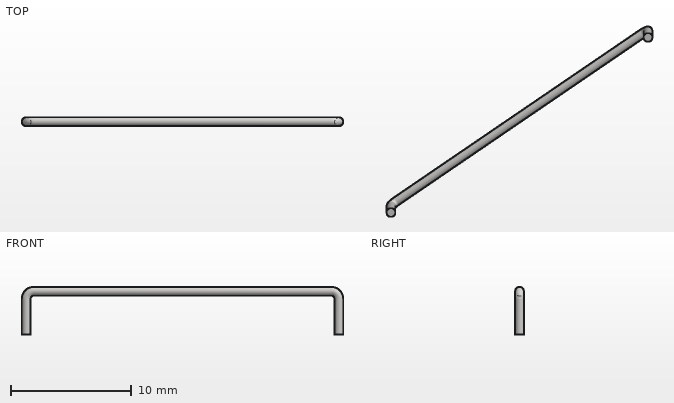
import cadquery as cq

wire_diameter = 0.75
leg_spacing = 26.0
overall_height = 3.98
bend_outer_radius = 1.0

wire_radius = wire_diameter / 2
bend_radius = bend_outer_radius - wire_radius
half_spacing = leg_spacing / 2
axis_height = overall_height - wire_radius


def wire_axis():
    """Centre line in the XZ plane: leg, span and leg, with both corners rounded."""
    bend_start = axis_height - bend_radius
    span_end = half_spacing - bend_radius
    return (
        cq.Workplane("XZ")
        .moveTo(-half_spacing, 0)
        .lineTo(-half_spacing, bend_start)
        .tangentArcPoint((-span_end, axis_height), relative=False)
        .lineTo(span_end, axis_height)
        .tangentArcPoint((half_spacing, bend_start), relative=False)
        .lineTo(half_spacing, 0)
    )


def bent_wire():
    """Round section at the foot of the left leg, swept along the centre line."""
    section = cq.Workplane("XY").center(-half_spacing, 0).circle(wire_radius)
    return section.sweep(wire_axis())


result = bent_wire()